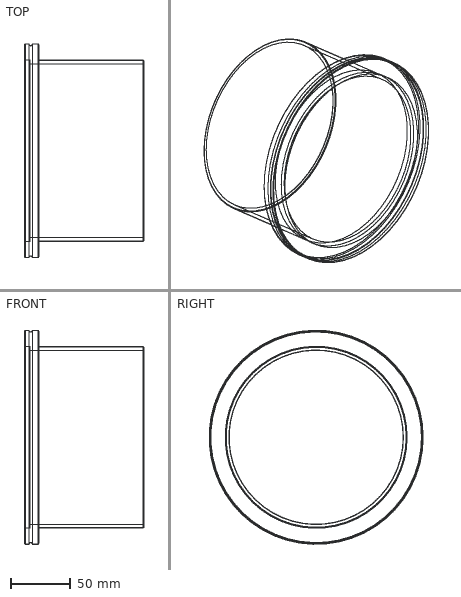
import cadquery as cq

length = 100.0
flange_diameter = 180.0
flange_thickness = 12.0
tube_diameter = 152.5
bore_diameter = 146.3

seat_diameter = 153.0
seat_depth = 4.5

groove_radius = 1.5
groove_center_x = 5.0

front_chamfer = 0.5
rear_chamfer = 0.9
tube_end_chamfer = 0.5


def cylinder(diameter, height):
    """Cylinder along +X that starts on the front face."""
    return cq.Workplane("YZ").circle(diameter / 2).extrude(height)


def make_flange():
    flange = cylinder(flange_diameter, flange_thickness)
    flange = flange.faces("<X").chamfer(front_chamfer)
    return flange.faces(">X").chamfer(rear_chamfer)


def make_rim_groove():
    """Ring of round section, centred on the flange rim."""
    return (
        cq.Workplane("XY")
        .center(groove_center_x, flange_diameter / 2)
        .circle(groove_radius)
        .revolve(360, (0, -flange_diameter / 2, 0), (1, -flange_diameter / 2, 0))
    )


tube = cylinder(tube_diameter, length).faces(">X").chamfer(tube_end_chamfer)
body = make_flange().union(tube)
body = body.cut(make_rim_groove())
body = body.cut(cylinder(bore_diameter, length))
result = body.cut(cylinder(seat_diameter, seat_depth))